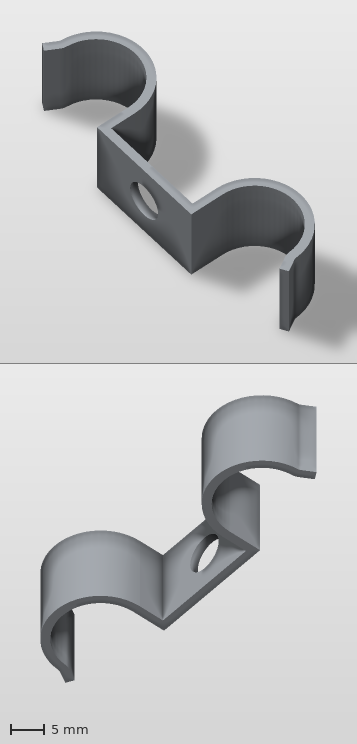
import cadquery as cq
import math

overall_length = 57.7
overall_depth = 15.05
strip_width = 14.0
thickness = 1.5
clip_outer_radius = 9.0
base_length = 22.05
hole_diameter = 6.5
bend_radius = 1.0
arc_end_angle = 4.0
lip_angle = 30.0

base_half = base_length / 2
clip_inner_radius = clip_outer_radius - thickness
clip_x = base_half - thickness + clip_outer_radius
clip_y = overall_depth - clip_outer_radius
bend_outer_radius = bend_radius + thickness


def polar(center, radius, angle):
    """Point at a radius and an angle in degrees from a center."""
    radians = math.radians(angle)
    return (center[0] + radius * math.cos(radians), center[1] + radius * math.sin(radians))


def right_half_profile():
    """Half of the bent strip: base, leg, clip arc, bend and flared lip."""
    clip_center = (clip_x, clip_y)
    bend_center = polar(clip_center, clip_outer_radius + bend_radius, arc_end_angle)
    bend_start = 180 + arc_end_angle
    bend_end = 180 + lip_angle
    bend_middle = (bend_start + bend_end) / 2

    lip_start = polar(bend_center, bend_radius, bend_end)
    lip_length = (overall_length / 2 - lip_start[0]) / math.sin(math.radians(lip_angle))
    lip_direction = lip_angle - 90
    lip_outer_corner = polar(lip_start, lip_length, lip_direction)
    lip_inner_corner = polar(lip_outer_corner, thickness, bend_end)

    return (
        cq.Workplane("XY")
        .moveTo(0, 0)
        .lineTo(base_half, 0)
        .lineTo(base_half, clip_y)
        .threePointArc(
            polar(clip_center, clip_inner_radius, 90),
            polar(clip_center, clip_inner_radius, arc_end_angle),
        )
        .threePointArc(
            polar(bend_center, bend_outer_radius, bend_middle),
            polar(bend_center, bend_outer_radius, bend_end),
        )
        .lineTo(*lip_inner_corner)
        .lineTo(*lip_outer_corner)
        .lineTo(*lip_start)
        .threePointArc(
            polar(bend_center, bend_radius, bend_middle),
            polar(bend_center, bend_radius, bend_start),
        )
        .threePointArc(
            polar(clip_center, clip_outer_radius, 90),
            (clip_x - clip_outer_radius, clip_y),
        )
        .lineTo(base_half - thickness, thickness)
        .lineTo(0, thickness)
        .close()
    )


def mounting_hole():
    """Round cutter through the middle of the base along Y."""
    return (
        cq.Workplane("XZ")
        .center(0, strip_width / 2)
        .circle(hole_diameter / 2)
        .extrude(-thickness)
    )


right_half = right_half_profile().extrude(strip_width)
strip = right_half.union(right_half.mirror("YZ")).clean()
result = strip.cut(mounting_hole())